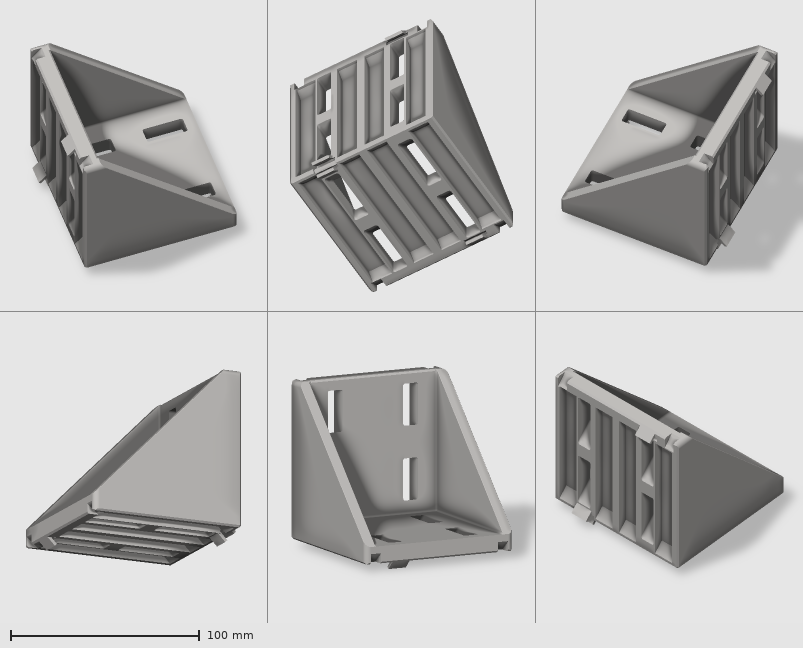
import cadquery as cq


WIDTH = 88.0
OVERALL = 90.4
TAB_REACH = 4.4
LEG = OVERALL - TAB_REACH
PLATE = 9.5
SIDE_WALL = 5.9
CAVITY_WIDTH = WIDTH - 2 * SIDE_WALL
EDGE_CHAMFER = 1.0
CORNER_RADIUS = 3.0
CAVITY_FILLET = 1.1
WALL_EDGE_CHAMFER = 0.2
LIP_CHAMFER = 1.0

SLOT_X = 22.5
SLOT_WIDTH = 8.8
SLOT_LENGTH = 22.7
SLOT_PITCH = 40.3
FIRST_SLOT = 16.7
SLOT_FILLET = 1.1

POCKET_CENTERS = (-34.0, -8.4, 8.4, 34.0)
POCKET_WIDTH = 12.1
POCKET_DEPTH = 5.4
POCKET_START = 2.5
POCKET_END = 79.6
SHORT_POCKET_END = 78.6
POCKET_END_BEVEL = 3.8

NOTCH_X = 38.0
NOTCH_WIDTH = 6.15
NOTCH_DEPTH = 5.6
NOTCH_LENGTH = 6.6

TAB_WIDTH = 10.4
TAB_STEP = 1.2
TAB_ROOT = 0.7
FRONT_END_TAB_REACH = 4.2
SLIT_WIDTH = 13.6
SLIT_DEPTH = 2.4
CORNER_TAB_HEIGHT = 6.3
END_TAB_HEIGHT = LEG - EDGE_CHAMFER
RIDGE_CUT = 3.7

OVERCUT = 0.9


def across(points, center_x, width):
    """Extrude a Y-Z outline along X, centred on center_x."""
    profile = cq.Workplane("YZ", origin=(center_x - width / 2, 0, 0))
    return profile.polyline(points).close().extrude(width)


def swapped(shape):
    """Reflect in the plane Y = Z."""
    return shape.mirror((0, 1, -1))


def on_both_plates(feature):
    return feature.union(swapped(feature))


def rounded_block():
    """Block around the whole body, rounded along the sides of its top and back faces."""
    block = cq.Workplane().box(WIDTH, LEG, LEG, centered=(True, False, False))
    block = block.edges(">Z and |Y").fillet(CORNER_RADIUS)
    return block.intersect(swapped(block))


def make_body():
    outline = [(0, 0), (LEG, 0), (LEG, PLATE), (PLATE, LEG), (0, LEG)]
    body = across(outline, 0, WIDTH)
    body = body.faces("<Y or <Z").edges().chamfer(EDGE_CHAMFER)

    far = LEG + PLATE
    cavity = across([(PLATE, PLATE), (far, PLATE), (PLATE, far)], 0, CAVITY_WIDTH)
    cavity = cavity.edges("(<Y and |Z) or (<Z and |Y) or (<Y and <Z)").fillet(CAVITY_FILLET)
    body = body.cut(cavity)

    slanted_faces = body.faces(">(0, 1, 1)")
    body = slanted_faces.edges("not |X").chamfer(WALL_EDGE_CHAMFER)
    return body.intersect(rounded_block())


def plate_lip():
    """Cutter that bevels the inner edge of the front plate's free end."""
    bevel = [(PLATE - LIP_CHAMFER, LEG), (PLATE, LEG), (PLATE, LEG - LIP_CHAMFER)]
    return across(bevel, 0, CAVITY_WIDTH)


def slots():
    """Slots whose corner-side wall slants at 45 degrees through the front plate."""
    cutters = cq.Workplane()
    for x in (-SLOT_X, SLOT_X):
        for start in (FIRST_SLOT, FIRST_SLOT + SLOT_PITCH):
            end = start + SLOT_LENGTH
            outer_start = start - PLATE
            outline = [
                (-OVERCUT, outer_start - OVERCUT),
                (PLATE + OVERCUT, start + OVERCUT),
                (PLATE + OVERCUT, end),
                (-OVERCUT, end),
            ]
            slot = across(outline, x, SLOT_WIDTH)
            cutters = cutters.add(slot.edges("not (|X or |Z)").fillet(SLOT_FILLET))
    return cutters.combine()


def pockets():
    cutters = cq.Workplane()
    for x in POCKET_CENTERS:
        end = SHORT_POCKET_END if x == max(POCKET_CENTERS) else POCKET_END
        outline = [
            (0, POCKET_START),
            (POCKET_DEPTH, POCKET_START + POCKET_DEPTH),
            (POCKET_DEPTH, end - POCKET_END_BEVEL),
            (POCKET_DEPTH - POCKET_END_BEVEL, end),
            (0, end),
        ]
        cutters = cutters.add(across(outline, x, POCKET_WIDTH))
    return cutters.combine()


def notches():
    wedge = [(0, LEG - NOTCH_LENGTH), (NOTCH_DEPTH, LEG), (0, LEG)]
    return across(wedge, -NOTCH_X, NOTCH_WIDTH).union(across(wedge, NOTCH_X, NOTCH_WIDTH))


def tab(x, height, reach):
    """Tab leaning outward at 45 degrees; its upper side leaves the plate at height."""
    tip = height - reach
    outline = [
        (TAB_ROOT, height + TAB_ROOT),
        (-reach, tip),
        (TAB_STEP - reach, tip - TAB_STEP),
        (TAB_ROOT + TAB_STEP, height + TAB_ROOT - TAB_STEP),
    ]
    return across(outline, x, TAB_WIDTH)


def slit(x, tab_height):
    """Slanted slit, as thick as a tab, directly below the tab at tab_height."""
    top = tab_height - 2 * TAB_STEP
    bottom = top - 2 * TAB_STEP
    roof_depth = SLIT_DEPTH - TAB_STEP
    outline = [
        (-OVERCUT, top - OVERCUT),
        (roof_depth, top + roof_depth),
        (SLIT_DEPTH, bottom + SLIT_DEPTH),
        (-OVERCUT, bottom - OVERCUT),
    ]
    return across(outline, x, SLIT_WIDTH)


def corner_ridge():
    """Cutter that flattens the ridge left between the two slits at the corner edge."""
    return across([(0, 0), (RIDGE_CUT, 0), (0, RIDGE_CUT)], -SLOT_X, SLIT_WIDTH)


result = make_body().cut(corner_ridge()).cut(plate_lip())
for cutter in (slots(), pockets(), notches()):
    result = result.cut(on_both_plates(cutter))

for tab_x, tab_height, front_reach in (
    (-SLOT_X, CORNER_TAB_HEIGHT, TAB_REACH),
    (SLOT_X, END_TAB_HEIGHT, FRONT_END_TAB_REACH),
):
    result = result.cut(on_both_plates(slit(tab_x, tab_height)))
    result = result.union(tab(tab_x, tab_height, front_reach))
    result = result.union(swapped(tab(tab_x, tab_height, TAB_REACH)))

result = result.solids()